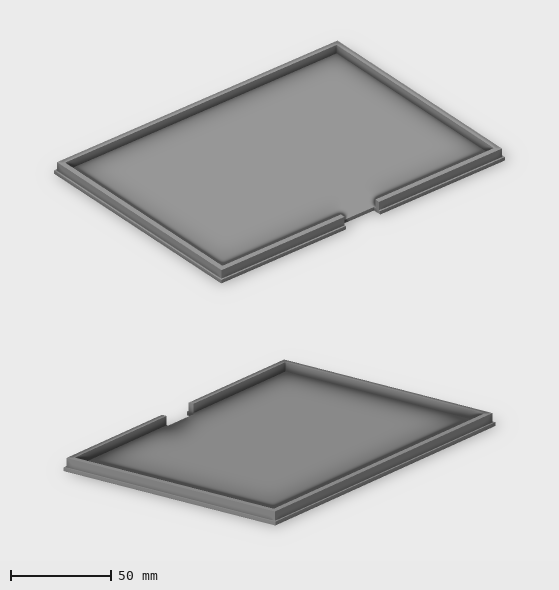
import cadquery as cq

width = 132.0
length = 182
height = 7.0

lip = 1.0
lip_height = 2.0
wall = 3.0
floor = 2.0

notch_width = 22.0
notch_depth = 5.0

flange = cq.Workplane("XY").box(width, length, lip_height, centered=(True, True, False))
raised = cq.Workplane("XY").box(width - 2 * lip, length - 2 * lip, height, centered=(True, True, False))

inset = lip + wall
recess = (
    cq.Workplane("XY")
    .workplane(offset=floor)
    .rect(width - 2 * inset, length - 2 * inset)
    .extrude(height)
)

notch = (
    cq.Workplane("XY")
    .box(notch_depth, notch_width, height, centered=(False, True, False))
    .translate((width / 2 - notch_depth, 0, 0))
)

result = flange.union(raised).cut(recess).cut(notch)